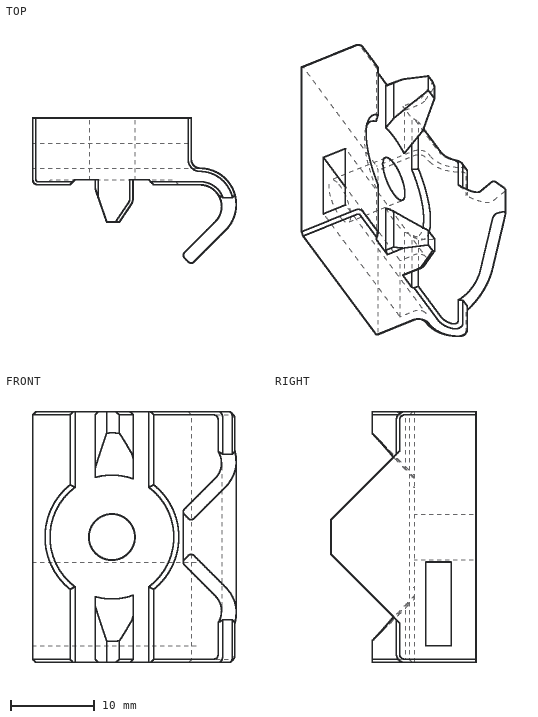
import cadquery as cq
import math


height = 30.0
half_height = height / 2
block_width = 19.0
front_depth = 8.0
front_edge_radius = 0.63
edge_chamfer = 0.4

bend_x = 20.0
web_back_depth = 6.0
root_radius = bend_x - block_width
outer_radius = 4.35
inner_radius = 2.58
tip_depth = 17.37
tip_radius = 0.45
arm_side_sum = 19.45
tab_depth = 9.55
tab_corner_radius = 1.02

axis_x = 9.48
floor_depth = 7.4
channel_half_width = 4.4
bore_diameter = 5.5

tooth_left = 7.47
tooth_right = 12.03
tooth_tip_left = 8.85
tooth_tip_right = 10.38
tooth_depth = 12.45
left_shoulder_depth = 8.45
right_shoulder_depth = 10.0
shoulder_radius = 1.5

slot_depth_start = 3.0
slot_depth_end = 6.0
slot_top = -3.0
slot_length = 10.0

diagonal = math.sqrt(0.5)


def on_circle(center, radius, angle):
    """Point on a circle at an angle in degrees."""
    a = math.radians(angle)
    return center[0] + radius * math.cos(a), center[1] + radius * math.sin(a)


def prism(outline):
    """Closed XY outline extruded over the full height."""
    return outline.close().extrude(half_height, both=True)


def hook_profile():
    """Block and complete hook, over the full height."""
    outer_center = (bend_x, -web_back_depth - outer_radius)
    inner_center = (bend_x, -front_depth - inner_radius)
    outer_end = on_circle(outer_center, outer_radius, -45)
    inner_end = on_circle(inner_center, inner_radius, -45)
    corner_y = -tip_depth - tip_radius * (math.sqrt(2) - 1)
    outer_tip = (outer_end[0] + corner_y - outer_end[1], corner_y)
    thickness = ((outer_end[0] - outer_end[1]) - (inner_end[0] - inner_end[1])) * diagonal
    inner_tip = (outer_tip[0] - thickness * diagonal, outer_tip[1] + thickness * diagonal)
    root_center = (bend_x, -web_back_depth + root_radius)
    outline = (
        cq.Workplane("XY")
        .moveTo(0, 0)
        .lineTo(block_width, 0)
        .lineTo(block_width, root_center[1])
        .threePointArc(on_circle(root_center, root_radius, 225), (bend_x, -web_back_depth))
        .threePointArc(on_circle(outer_center, outer_radius, 0), outer_end)
        .lineTo(*outer_tip)
        .lineTo(*inner_tip)
        .lineTo(*inner_end)
        .threePointArc(on_circle(inner_center, inner_radius, 0), (bend_x, -front_depth))
        .lineTo(0, -front_depth)
    )
    hook = prism(outline)
    tip_edges = hook.edges("|Z").edges(
        cq.selectors.BoxSelector(
            (0, corner_y - tip_radius, -height), (outer_end[0], inner_tip[1] + tip_radius, height)
        )
    )
    return tip_edges.fillet(tip_radius)


def depth_slab(near, far):
    """Large slab between two depths, used for trimming."""
    return cq.Workplane("XY").box(2 * height, far - near, 2 * height).translate((0, -(near + far) / 2, 0))


def make_base(profile):
    """Block with the full-height stub of the hook and its chamfered rim."""
    base = profile.intersect(depth_slab(0, tab_depth))
    base = base.edges("|Z").edges(
        cq.selectors.NearestToPointSelector((0, -front_depth, 0))
    ).fillet(front_edge_radius)
    base = base.faces("<Y").edges("|X").fillet(tab_corner_radius)
    rim = base.faces("<Z or >Z or <Y").edges("not(>Y)")
    return rim.chamfer(edge_chamfer)


def make_arm(profile):
    """Hook arm between 45 degree sides that taper towards its tip."""
    near = front_depth
    taper = (
        cq.Workplane("YZ")
        .polyline([(-near, arm_side_sum - near), (-arm_side_sum, 0), (-near, near - arm_side_sum)])
        .close()
        .extrude(height)
    )
    return profile.intersect(taper)


def make_channel():
    """Vertical channel with 45 degree sides."""
    rise = height - floor_depth
    outline = (
        cq.Workplane("XY")
        .moveTo(axis_x - channel_half_width, -floor_depth)
        .lineTo(axis_x + channel_half_width, -floor_depth)
        .lineTo(axis_x + channel_half_width + rise, -height)
        .lineTo(axis_x - channel_half_width - rise, -height)
    )
    return prism(outline).intersect(depth_slab(floor_depth, front_depth))


def make_teeth():
    """Full-height ridge with chamfered ends; the central cone splits it into two teeth."""
    ridge = prism(
        cq.Workplane("XY").polyline([
            (tooth_left, -floor_depth),
            (tooth_left, -left_shoulder_depth),
            (tooth_tip_left, -tooth_depth),
            (tooth_tip_right, -tooth_depth),
            (tooth_right, -right_shoulder_depth),
            (tooth_right, -floor_depth),
        ])
    )
    shoulder = cq.selectors.NearestToPointSelector((tooth_right, -right_shoulder_depth, 0))
    ridge = ridge.edges("|Z").edges(shoulder).fillet(shoulder_radius)
    ridge = ridge.faces(">X").edges(">Z or <Z").chamfer(edge_chamfer)
    for end in (half_height, -half_height):
        inward = -math.copysign(edge_chamfer, end)
        bevel = (
            cq.Workplane("XZ")
            .polyline([(tooth_left, end), (tooth_left + edge_chamfer, end), (tooth_left, end + inward)])
            .close()
            .extrude(tooth_depth)
        )
        ridge = ridge.cut(bevel)
    return ridge


def make_cone():
    """45 degree cone with its apex on the back face, cleared in front of the floor."""
    cone = cq.Solid.makeCone(
        floor_depth, tooth_depth, tooth_depth - floor_depth,
        pnt=cq.Vector(axis_x, -floor_depth, 0), dir=cq.Vector(0, -1, 0),
    )
    return cq.Workplane(cone)


def make_bore():
    """Through bore along Y."""
    return cq.Workplane("XZ").center(axis_x, 0).circle(bore_diameter / 2).extrude(front_depth)


def make_slot():
    """Rectangular slot through the block along X."""
    return cq.Workplane("XY").box(
        bend_x, slot_depth_end - slot_depth_start, slot_length, centered=False
    ).translate((0, -slot_depth_end, slot_top - slot_length))


profile = hook_profile()
base = make_base(profile).cut(make_channel())
base = base.union(make_teeth()).cut(make_cone())
base = base.cut(make_bore()).cut(make_slot())
result = base.union(make_arm(profile))